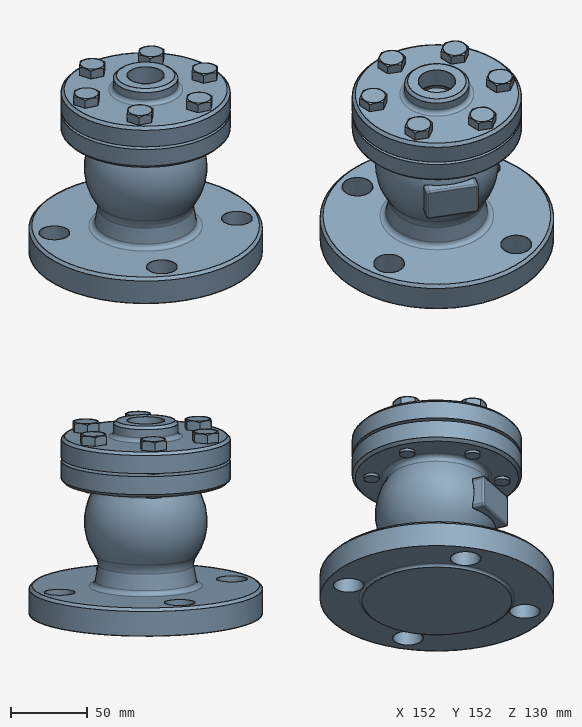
import cadquery as cq
import math

TOTAL_HEIGHT = 130.0
EDGE_CHAMFER = 2.0
CORNER_FILLET = 3.0

FLANGE_DIAMETER = 152.0
FLANGE_TOP = 20.4
FACE_DIAMETER = 97.6
FACE_HEIGHT = 2.0
FACE_FILLET = 1.8
MOUNT_CIRCLE_DIAMETER = 120.5
MOUNT_HOLE_DIAMETER = 19.9
MOUNT_HOLE_COUNT = 4

NECK_FOOT_DIAMETER = 67.2
NECK_FOOT_FILLET = 4.0
NECK_DIAMETER = 62.2
SPHERE_DIAMETER = 80.0
SPHERE_CENTRE_Z = 63.1
WAIST_FILLET = 11.5

COVER_DIAMETER = 110.0
BODY_FLANGE_BOTTOM = 89.7
PLATE_THICKNESS = 14.0
GASKET_DIAMETER = 64.5
GASKET_THICKNESS = 2.0

BOSS_DIAMETER = 42.0
PORT_DIAMETER = 24.2
PORT_DEPTH = 12.5
DRILL_DIAMETER = 22.8
DRILL_DEPTH = 14.0
DRILL_POINT_ANGLE = 118

BOLT_COUNT = 6
BOLT_CIRCLE_DIAMETER = 85.0
BOLT_DIAMETER = 10.0
BOLT_END_Z = 87.7
BOLT_TIP_CHAMFER = 1.0
HEAD_SIDES = 6
HEAD_ACROSS_FLATS = 16.0
HEAD_HEIGHT = 6.4
HEAD_BEVEL_ANGLE = 30
HEAD_FACE_DIAMETER = 15.5

PAD_WIDTH = 35.0
PAD_HEIGHT = 22.0
PAD_FACE_Y = 43.2
PAD_CORNER_RADIUS = 2.1
PAD_EDGE_FILLET = 1.2

BODY_FLANGE_TOP = BODY_FLANGE_BOTTOM + PLATE_THICKNESS
COVER_BOTTOM = BODY_FLANGE_TOP + GASKET_THICKNESS
COVER_TOP = COVER_BOTTOM + PLATE_THICKNESS


def disc(diameter, bottom, top):
    """Solid cylinder on the valve axis between two levels."""
    return cq.Workplane("XY").workplane(offset=bottom).circle(diameter / 2).extrude(top - bottom)


def fillet_ring(solid, diameter, level, radius):
    """Fillet the circular edge of the given diameter at the given level."""
    tolerance = 0.02

    def is_ring(edge):
        box = edge.BoundingBox()
        flat_at_level = max(abs(box.zmin - level), abs(box.zmax - level)) < tolerance
        return flat_at_level and abs(box.xmax - diameter / 2) < tolerance

    return solid.edges("%CIRCLE").filter(is_ring).fillet(radius)


def make_body():
    """Pipe flange, neck, sphere and body flange."""
    flange = disc(FLANGE_DIAMETER, FACE_HEIGHT, FLANGE_TOP).faces(">Z").chamfer(EDGE_CHAMFER)
    raised_face = disc(FACE_DIAMETER, 0, FACE_HEIGHT)
    body_flange = disc(COVER_DIAMETER, BODY_FLANGE_BOTTOM, BODY_FLANGE_TOP)
    body_flange = body_flange.faces("<Z").chamfer(EDGE_CHAMFER)

    sphere_radius = SPHERE_DIAMETER / 2
    neck_radius = NECK_DIAMETER / 2
    waist_angle = math.acos((neck_radius + WAIST_FILLET) / (sphere_radius + WAIST_FILLET))
    taper_top = SPHERE_CENTRE_Z - (sphere_radius + WAIST_FILLET) * math.sin(waist_angle)

    def waist_point(angle):
        radius = neck_radius + WAIST_FILLET * (1 - math.cos(angle))
        return radius, taper_top + WAIST_FILLET * math.sin(angle)

    shoulder_radius = math.sqrt(sphere_radius**2 - (BODY_FLANGE_BOTTOM - SPHERE_CENTRE_Z) ** 2)
    barrel = (
        cq.Workplane("XZ")
        .moveTo(0, FLANGE_TOP)
        .lineTo(NECK_FOOT_DIAMETER / 2, FLANGE_TOP)
        .lineTo(neck_radius, taper_top)
        .threePointArc(waist_point(waist_angle / 2), waist_point(waist_angle))
        .threePointArc((sphere_radius, SPHERE_CENTRE_Z), (shoulder_radius, BODY_FLANGE_BOTTOM))
        .lineTo(0, BODY_FLANGE_BOTTOM)
        .close()
        .revolve(360, (0, 0, 0), (0, 1, 0))
    )

    body = flange.union(raised_face).union(barrel).union(body_flange)
    body = fillet_ring(body, FACE_DIAMETER, FACE_HEIGHT, FACE_FILLET)
    body = fillet_ring(body, NECK_FOOT_DIAMETER, FLANGE_TOP, NECK_FOOT_FILLET)
    return fillet_ring(body, 2 * shoulder_radius, BODY_FLANGE_BOTTOM, CORNER_FILLET)


def make_mount_holes():
    """Through holes of the pipe flange, placed on the diagonals."""
    return (
        cq.Workplane("XY")
        .polarArray(MOUNT_CIRCLE_DIAMETER / 2, 180 / MOUNT_HOLE_COUNT, 360, MOUNT_HOLE_COUNT)
        .circle(MOUNT_HOLE_DIAMETER / 2)
        .extrude(FLANGE_TOP)
    )


def make_cover():
    """Cover plate with its boss."""
    plate = disc(COVER_DIAMETER, COVER_BOTTOM, COVER_TOP).faces(">Z").chamfer(EDGE_CHAMFER)
    boss = disc(BOSS_DIAMETER, COVER_TOP, TOTAL_HEIGHT).faces(">Z").chamfer(EDGE_CHAMFER)
    return fillet_ring(plate.union(boss), BOSS_DIAMETER, COVER_TOP, CORNER_FILLET)


def make_port():
    """Blind port of the boss: wide bore, narrower drilled bore and drill point."""
    drill_radius = DRILL_DIAMETER / 2
    point_height = drill_radius / math.tan(math.radians(DRILL_POINT_ANGLE / 2))
    return (
        cq.Workplane("XZ")
        .moveTo(0, TOTAL_HEIGHT)
        .lineTo(PORT_DIAMETER / 2, TOTAL_HEIGHT)
        .lineTo(PORT_DIAMETER / 2, TOTAL_HEIGHT - PORT_DEPTH)
        .lineTo(drill_radius, TOTAL_HEIGHT - PORT_DEPTH)
        .lineTo(drill_radius, TOTAL_HEIGHT - DRILL_DEPTH)
        .lineTo(0, TOTAL_HEIGHT - DRILL_DEPTH - point_height)
        .close()
        .revolve(360, (0, 0, 0), (0, 1, 0))
    )


def make_bolt(chamfered_tip):
    """Hexagon bolt on the Z axis, with two head corners along X."""
    shank = disc(BOLT_DIAMETER, BOLT_END_Z, COVER_TOP)
    if chamfered_tip:
        shank = shank.faces("<Z").chamfer(BOLT_TIP_CHAMFER)

    corner_diameter = HEAD_ACROSS_FLATS / math.cos(math.pi / HEAD_SIDES)
    head = cq.Workplane("XY").workplane(offset=COVER_TOP)
    head = head.polygon(HEAD_SIDES, corner_diameter).extrude(HEAD_HEIGHT)
    bevel_width = (corner_diameter - HEAD_FACE_DIAMETER) / 2
    bevel_height = bevel_width * math.tan(math.radians(HEAD_BEVEL_ANGLE))
    envelope = disc(corner_diameter, COVER_TOP, COVER_TOP + HEAD_HEIGHT)
    envelope = envelope.faces(">Z").edges().chamfer(bevel_height, bevel_width)
    return shank.union(head.intersect(envelope))


def make_pad():
    """Rounded nameplate pad reaching from the body centre plane to its +Y face."""
    return (
        cq.Workplane("XZ", origin=(0, 0, SPHERE_CENTRE_Z))
        .rect(PAD_WIDTH, PAD_HEIGHT)
        .extrude(-PAD_FACE_Y)
        .edges("|Y")
        .fillet(PAD_CORNER_RADIUS)
        .faces(">Y")
        .edges()
        .fillet(PAD_EDGE_FILLET)
    )


gasket = disc(GASKET_DIAMETER, BODY_FLANGE_TOP, COVER_BOTTOM)
result = make_body().cut(make_mount_holes()).union(make_pad())
result = result.union(gasket).union(make_cover()).cut(make_port())

for index in range(BOLT_COUNT):
    angle = index * 2 * math.pi / BOLT_COUNT
    x = BOLT_CIRCLE_DIAMETER / 2 * math.cos(angle)
    y = BOLT_CIRCLE_DIAMETER / 2 * math.sin(angle)
    on_minus_x_side = index == BOLT_COUNT // 2
    result = result.union(make_bolt(on_minus_x_side).translate((x, y, 0)))